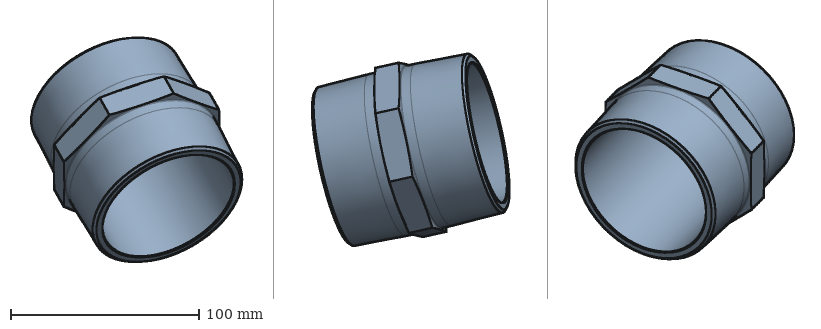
import cadquery as cq
import math

total_length = 85.0
across_flats = 90.0
bore_diameter = 76.0

collar_diameter = 88.5
collar_length = 25.6
thread_taper = 1 / 16

mouth_face_diameter = 83.6
outer_chamfer_length = 1.4
bore_chamfer = 0.45

side_count = 8
octagon_width = 14.2
corner_cone_angle = 9.0
root_fillet = 0.4

across_corners = across_flats / math.cos(math.pi / side_count)
half_length = total_length / 2
half_collar = collar_length / 2
half_octagon = octagon_width / 2


def revolve_profile(points):
    """Turn an outline of (x, radius) points about the X axis."""
    return cq.Workplane("XY").polyline(points).close().revolve(360, (0, 0, 0), (1, 0, 0))


def mirrored_profile(right_half):
    """Closed outline down to the axis, symmetric about x = 0."""
    left_half = [(-x, radius) for x, radius in reversed(right_half)]
    return left_half + right_half


def make_pipe():
    taper_end = half_length - outer_chamfer_length
    taper_end_diameter = collar_diameter - thread_taper * (taper_end - half_collar)
    return revolve_profile(mirrored_profile([
        (half_collar, collar_diameter / 2),
        (taper_end, taper_end_diameter / 2),
        (half_length, mouth_face_diameter / 2),
        (half_length, 0),
    ]))


def make_octagon():
    root_radius = collar_diameter / 2
    cone_base_radius = root_radius + root_fillet
    corner_radius = across_corners / 2
    corner_drop = (corner_radius - cone_base_radius) * math.tan(math.radians(corner_cone_angle))
    half_root = half_octagon + root_fillet

    prism = (
        cq.Workplane("YZ")
        .polygon(side_count, across_corners)
        .extrude(half_root, both=True)
        .rotate((0, 0, 0), (1, 0, 0), 180 / side_count)
    )
    turned_shape = (
        cq.Workplane("XY")
        .moveTo(-half_root, 0)
        .lineTo(-half_root, root_radius)
        .radiusArc((-half_octagon, cone_base_radius), -root_fillet)
        .lineTo(-half_octagon + corner_drop, corner_radius)
        .lineTo(half_octagon - corner_drop, corner_radius)
        .lineTo(half_octagon, cone_base_radius)
        .radiusArc((half_root, root_radius), -root_fillet)
        .lineTo(half_root, 0)
        .close()
        .revolve(360, (0, 0, 0), (1, 0, 0))
    )
    return prism.intersect(turned_shape)


def make_bore():
    bore_radius = bore_diameter / 2
    return revolve_profile(mirrored_profile([
        (half_length - bore_chamfer, bore_radius),
        (half_length, bore_radius + bore_chamfer),
        (half_length, 0),
    ]))


result = make_pipe().union(make_octagon()).cut(make_bore())